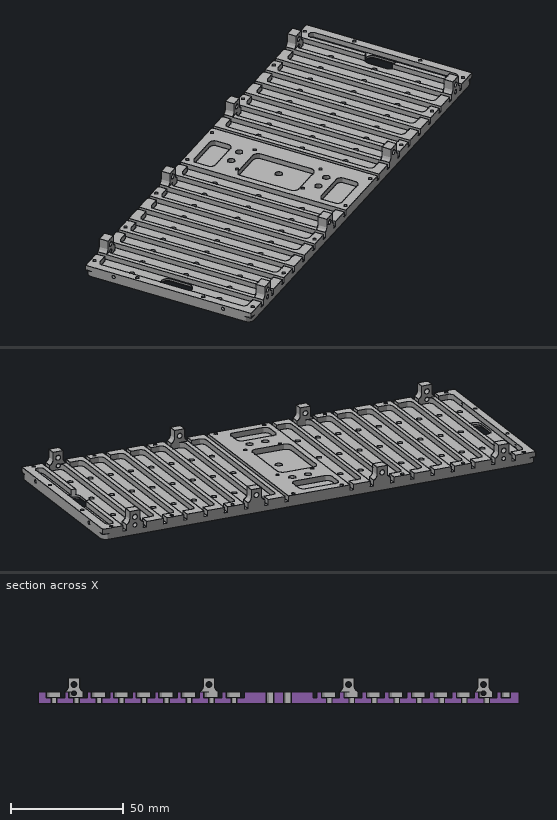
import cadquery as cq
import math

length = 214.0
width = 83.0
lug_top = 11.5
plate_thickness = 5.4
recess_depth = 2.5
recess_floor = plate_thickness - recess_depth

lower_height = 2.8
lower_corner_radius = 3.0

groove_width = 1.6
grooves_per_side = 9
first_groove_y = 16.0
groove_span = 80.0
groove_pitch = groove_span / (grooves_per_side - 1)
rear_grooves = [first_groove_y + i * groove_pitch for i in range(grooves_per_side)]
front_grooves = [-y for y in rear_grooves]

first_rear_row_y = 22.5
first_front_row_y = -20.0
rear_rows = [first_rear_row_y + i * groove_pitch for i in range(grooves_per_side - 1)]
front_rows = [first_front_row_y - i * groove_pitch for i in range(grooves_per_side)]

rim_width = 4.5
pocket_length = width - 2 * rim_width
pocket_edge_below_row = 3.5
pocket_corner_radius = 2.1
end_slot_width = 3.9
end_slot_corner_radius = 1.7

lug_width = 5.1
lug_base_width = groove_pitch - groove_width
lug_fillet_radius = 2.5
lug_hole_diameter = 2.4
lug_hole_z = 8.5
outer_lug_y = rear_grooves[-1] - groove_pitch / 2
inner_lug_y = rear_grooves[2] - groove_pitch / 2

rim_cross_hole_diameter = 2.0
rim_cross_hole_z = 4.7

panel_recess_top_y = 6.8
panel_recess_bottom_y = -12.5
side_recess_corner_radius = 2.4
centre_recess_corner_radius = 2.8
centre_recess_width = 30.4
side_recess_width = 10.5

handle_width = 15.0
handle_height = 6.5
handle_corner_radius = 3.0
handle_flare = 1.7
handle_y = 99.0

slat_hole_diameter = 2.4
slat_hole_x = 21.8
panel_hole_diameter = 3.2
panel_hole_y = 3.9
pin_hole_diameter = 1.5
rim_hole_x = 39.5
rim_hole_first_y = 12.0
rim_hole_pitch = 30.0
rim_holes_per_quarter = 4
inner_pin_x = 16.5
panel_pin_y = 8.5
end_pin_y = 105.0

end_hole_diameter = 1.5
end_hole_depth = 3.2
end_hole_x = 27.4
end_hole_z = 3.5


def mirrored(x, y):
    """The four points (+-x, +-y)."""
    return [(sx * x, sy * y) for sx in (1, -1) for sy in (1, -1)]


def plate():
    lower = cq.Workplane("XY").box(width, length, lower_height, centered=(True, True, False))
    lower = lower.edges("|Z").fillet(lower_corner_radius)
    upper = (
        cq.Workplane("XY", origin=(0, 0, lower_height))
        .box(width, length, plate_thickness - lower_height, centered=(True, True, False))
    )
    return lower.union(upper)


def rounded_recess(x, y_top, y_bottom, size_x, radius):
    """Cutter for a recess with four rounded corners, from its floor up through the plate top."""
    return (
        cq.Workplane("XY", origin=(x, (y_top + y_bottom) / 2, recess_floor))
        .box(size_x, y_top - y_bottom, recess_depth, centered=(True, True, False))
        .edges("|Z").fillet(radius)
    )


def groove(y):
    """Cutter for a groove across the full width."""
    return (
        cq.Workplane("XY", origin=(0, y, recess_floor))
        .box(width, groove_width, recess_depth, centered=(True, True, False))
    )


def pocket(groove_y, row_y):
    """Cutter for a pocket open to its groove and rounded at the two -Y corners."""
    edge_y = row_y - pocket_edge_below_row
    return (
        cq.Workplane("XY", origin=(0, (groove_y + edge_y) / 2, recess_floor))
        .box(pocket_length, groove_y - edge_y, recess_depth, centered=(True, True, False))
        .edges("|Z and <Y").fillet(pocket_corner_radius)
    )


def cross_hole(y, z, diameter):
    """Cutter along X through the whole width."""
    return cq.Workplane("YZ", origin=(-width / 2, y, z)).circle(diameter / 2).extrude(width)


def lug_pair(y):
    """Lugs on both rims with concave fillets at the foot and a hole along X."""
    half_base = lug_base_width / 2
    half_top = lug_width / 2
    fillet_centre_y = half_top + lug_fillet_radius
    fillet_centre_z = plate_thickness + lug_fillet_radius
    cut_off_drop = math.sqrt(lug_fillet_radius**2 - (fillet_centre_y - half_base) ** 2)
    cut_off_z = fillet_centre_z - cut_off_drop
    middle_angle = math.asin(cut_off_drop / lug_fillet_radius) / 2
    middle_y = fillet_centre_y - lug_fillet_radius * math.cos(middle_angle)
    middle_z = fillet_centre_z - lug_fillet_radius * math.sin(middle_angle)
    lugs = (
        cq.Workplane("YZ", origin=(-width / 2, y, 0))
        .moveTo(-half_base, recess_floor)
        .lineTo(-half_base, cut_off_z)
        .threePointArc((-middle_y, middle_z), (-half_top, fillet_centre_z))
        .lineTo(-half_top, lug_top)
        .lineTo(half_top, lug_top)
        .lineTo(half_top, fillet_centre_z)
        .threePointArc((middle_y, middle_z), (half_base, cut_off_z))
        .lineTo(half_base, recess_floor)
        .close()
        .extrude(rim_width)
    )
    lugs = lugs.union(lugs.mirror("YZ"))
    return lugs.cut(cross_hole(y, lug_hole_z, lug_hole_diameter))


def vertical_holes(points, diameter):
    return cq.Workplane("XY").pushPoints(points).circle(diameter / 2).extrude(plate_thickness)


def handle_opening(y):
    """Cutter for a rounded opening through the plate, flared at the underside."""
    opening = (
        cq.Workplane("XY", origin=(0, y, 0))
        .box(handle_width, handle_height, plate_thickness, centered=(True, True, False))
        .edges("|Z").fillet(handle_corner_radius)
    )
    flare = (
        cq.Workplane("XY", origin=(0, y, 0))
        .sketch()
        .rect(handle_width + 2 * handle_flare, handle_height + 2 * handle_flare)
        .vertices().fillet(handle_corner_radius + handle_flare)
        .finalize()
        .extrude(handle_flare, taper=45)
    )
    return opening.union(flare)


body = plate()

for groove_y in rear_grooves + front_grooves:
    body = body.cut(groove(groove_y))
for groove_y, row_y in zip(rear_grooves[1:] + front_grooves, rear_rows + front_rows):
    body = body.cut(pocket(groove_y, row_y))

end_slot_bottom = rear_rows[-1] + groove_pitch - pocket_edge_below_row
body = body.cut(
    rounded_recess(0, end_slot_bottom + end_slot_width, end_slot_bottom, pocket_length, end_slot_corner_radius)
)

side_recess_x = (pocket_length - side_recess_width) / 2
for recess_x, recess_width, recess_radius in (
    (0, centre_recess_width, centre_recess_corner_radius),
    (side_recess_x, side_recess_width, side_recess_corner_radius),
    (-side_recess_x, side_recess_width, side_recess_corner_radius),
):
    body = body.cut(
        rounded_recess(recess_x, panel_recess_top_y, panel_recess_bottom_y, recess_width, recess_radius)
    )

for lug_y in (outer_lug_y, inner_lug_y, -inner_lug_y, -outer_lug_y):
    body = body.union(lug_pair(lug_y))
for lug_y in (outer_lug_y, -outer_lug_y):
    body = body.cut(cross_hole(lug_y, rim_cross_hole_z, rim_cross_hole_diameter))

slat_points = []
for row_y in rear_rows + front_rows:
    slat_points += [(x, row_y) for x in (-slat_hole_x, 0, slat_hole_x)]
slat_points.remove((0, front_rows[-1]))
body = body.cut(vertical_holes(slat_points, slat_hole_diameter))

panel_points = [(0, 0)] + mirrored(slat_hole_x, panel_hole_y)
body = body.cut(vertical_holes(panel_points, panel_hole_diameter))

pin_points = mirrored(inner_pin_x, panel_pin_y) + mirrored(inner_pin_x, end_pin_y)
for i in range(rim_holes_per_quarter):
    pin_points += mirrored(rim_hole_x, rim_hole_first_y + i * rim_hole_pitch)
body = body.cut(vertical_holes(pin_points, pin_hole_diameter))

for y in (handle_y, -handle_y):
    body = body.cut(handle_opening(y))

end_holes = (
    cq.Workplane("XZ", origin=(0, -length / 2, end_hole_z))
    .pushPoints([(-end_hole_x, 0), (end_hole_x, 0)])
    .circle(end_hole_diameter / 2)
    .extrude(-end_hole_depth)
)
body = body.cut(end_holes).cut(end_holes.mirror("XZ"))

result = body